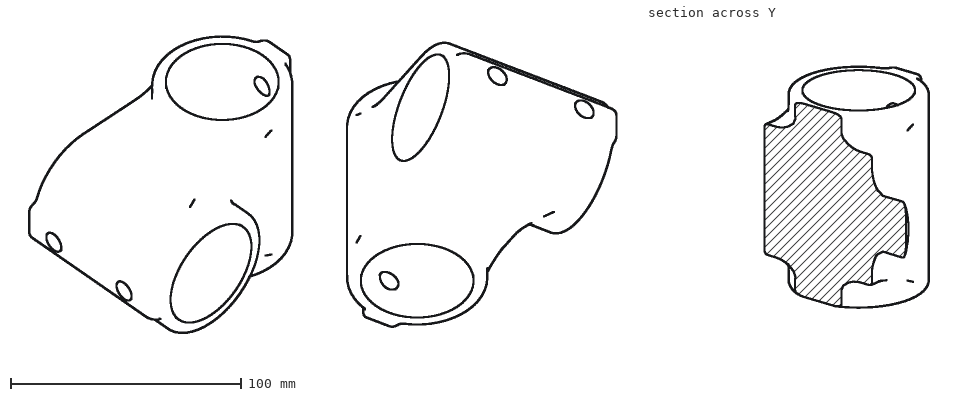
import cadquery as cq
import math

outer_radius = 30.5
bore_radius = 24.5
axis_spacing = 55
upright_length = 90
cross_length = 80
cross_start = -outer_radius
edge_round = 2.0
collar_blend = 6.0

lug_reach = 35
lug_root_reach = 25
lug_tip_width = 14.0
lug_flank_angle = 18.5
lug_corner_round = 4.6
lug_root_round = 2.5
lug_root_overlap = 0.6

screw_diameter = 9.4
screw_end_distance = 18.1

tolerance = 0.01


def socket(length):
    """Solid socket along Z from z=0, with its screw lug pointing to +Y."""
    flank = math.tan(math.radians(lug_flank_angle))
    root_half_width = lug_tip_width / 2 + (lug_reach - lug_root_reach) * flank
    tip_half_width = lug_tip_width / 2
    barrel = cq.Workplane("XY").circle(outer_radius).extrude(length)
    lug = (
        cq.Workplane("XY")
        .moveTo(-root_half_width, lug_root_reach)
        .lineTo(root_half_width, lug_root_reach)
        .lineTo(tip_half_width, lug_reach)
        .lineTo(-tip_half_width, lug_reach)
        .close()
        .extrude(length)
    )
    body = barrel.union(lug)
    root_box = cq.selectors.BoxSelector(
        (-root_half_width, lug_root_reach, -length),
        (root_half_width, outer_radius + lug_root_overlap, 2 * length),
    )
    body = body.edges("|Z").edges(root_box).fillet(lug_root_round)
    body = body.edges("|X").edges(">Y").fillet(lug_corner_round)
    return body


def round_outer_edges(body):
    """Round both end rims together with the lug flank edges that run into them."""
    rims = body.faces("<Z or >Z").edges("not(>Y)").vals()
    tip_edges = body.faces(">Y").edges("|Z").vals()
    return body.newObject(rims + tip_edges).fillet(edge_round)


def bore_and_screws(length):
    """Cutter for one socket: the through bore and two screw holes on the +Y side."""
    cutter = cq.Workplane("XY").circle(bore_radius).extrude(length)
    for height in (screw_end_distance, length - screw_end_distance):
        screw = (
            cq.Workplane("XZ", origin=(0, 0, height))
            .circle(screw_diameter / 2)
            .extrude(-lug_reach)
        )
        cutter = cutter.union(screw)
    return cutter


def swap_sockets(body):
    """Carry a feature of the upright socket over to the cross axis: Z to X, +Y to -Y."""
    body = body.rotate((0, 0, 0), (0, 0, 1), 180)
    body = body.rotate((0, 0, 0), (0, 1, 0), 90)
    return body.translate((0, -axis_spacing, 0))


def place_upright(body):
    return body.translate((0, 0, -upright_length / 2))


def place_cross(body):
    return swap_sockets(body).translate((cross_start, 0, 0))


def collar_skirt():
    """Concave ring at both shoulders of the upright socket, kept within the web's width."""
    rim = outer_radius + collar_blend
    profile = (
        cq.Workplane("XZ")
        .moveTo(0, 0)
        .lineTo(rim, 0)
        .lineTo(rim, outer_radius)
        .radiusArc((outer_radius, rim), collar_blend)
        .lineTo(0, rim)
        .close()
    )
    half = profile.revolve(360, (0, 0, 0), (0, 1, 0))
    ring = half.union(half.mirror("XY"))
    limit = (
        cq.Workplane("XY")
        .box(2 * outer_radius, rim, 2 * rim)
        .translate((0, -rim / 2, 0))
    )
    return ring.intersect(limit)


def is_web_edge(edge):
    """True for the straight web edges along Y; each runs on smoothly into a skirt edge."""
    center = edge.Center()
    return (
        edge.geomType() == "LINE"
        and abs(abs(center.x) - outer_radius) < tolerance
        and abs(abs(center.z) - outer_radius) < tolerance
    )


def blended_core():
    """Web between the axes with the collar skirts, its long outer edges rounded."""
    web = (
        cq.Workplane("XY")
        .box(2 * outer_radius, axis_spacing, 2 * outer_radius)
        .translate((0, -axis_spacing / 2, 0))
    )
    plus_x_half = (
        cq.Workplane("XY")
        .box(cross_length, 4 * axis_spacing, upright_length)
        .translate((cross_length / 2, 0, 0))
    )
    skirt = collar_skirt()
    core = web.union(skirt).union(swap_sockets(skirt).intersect(plus_x_half)).clean()
    web_edges = [edge for edge in core.edges().vals() if is_web_edge(edge)]
    return core.newObject(web_edges).fillet(edge_round)


result = blended_core()
result = result.union(place_upright(round_outer_edges(socket(upright_length))))
result = result.union(place_cross(round_outer_edges(socket(cross_length))))
result = result.cut(place_upright(bore_and_screws(upright_length)))
result = result.cut(place_cross(bore_and_screws(cross_length)))